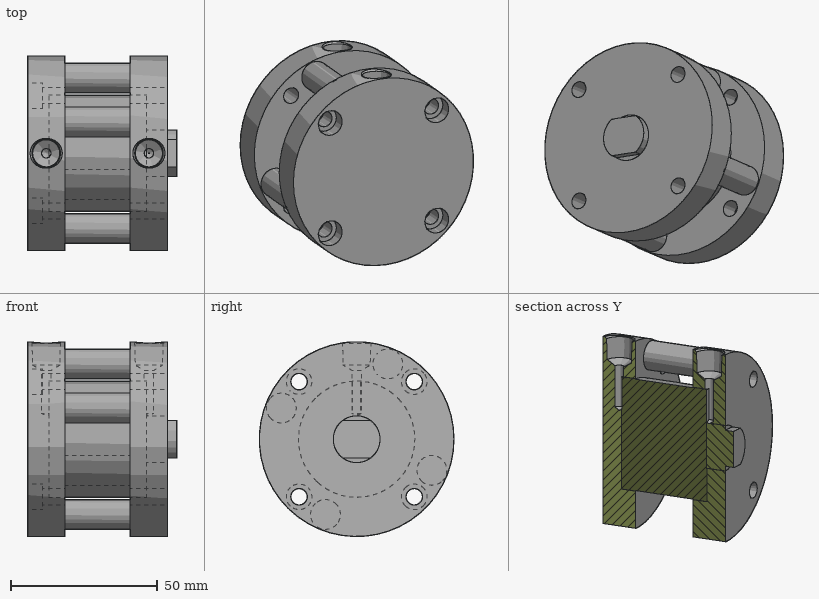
import cadquery as cq
import math

head_diameter = 66.55
head_radius = head_diameter / 2
head_thickness = 12.8
head_gap = 22.3
front_head_x = head_thickness + head_gap
front_face_x = front_head_x + head_thickness

barrel_diameter = 39.7
seat_depth = 5.5
barrel_start_x = head_thickness - seat_depth
barrel_end_x = front_head_x + seat_depth

pitch_radius = 27.8
hole_angle = 45.0
rod_angle = 67.5
around_count = 4
angle_step = 360.0 / around_count
mount_hole_diameter = 5.5
counterbore_diameter = 8.7
counterbore_depth = 5.2
tie_rod_diameter = 10.2

port_diameter = 9.7
port_floor_diameter = 9.25
port_depth = 8.0
port_rim_diameter = 11.0
passage_diameter = 3.2
passage_end_z = 8.85
drill_point_angle = 118.0

piston_rod_diameter = 16.0
rod_stickout = 3.2
across_flats = 12.9


def x_cylinder(diameter, start_x, end_x):
    """Round bar along the X axis."""
    bar = cq.Workplane("YZ").workplane(offset=start_x).circle(diameter / 2)
    return bar.extrude(end_x - start_x)


def around_axis(start_angle):
    """Positions (y, z) of the repeated features on the pitch circle."""
    angles = [math.radians(start_angle + i * angle_step) for i in range(around_count)]
    return [(pitch_radius * math.cos(a), pitch_radius * math.sin(a)) for a in angles]


def offset_cylinders(diameter, start_x, end_x, positions):
    """Cylinders along X, one centred at each (y, z) position."""
    bar = x_cylinder(diameter, start_x, end_x)
    return [bar.translate((0, y, z)) for y, z in positions]


def point_height(diameter):
    """Length of the conical point left by a drill of this diameter."""
    return diameter / 2 / math.tan(math.radians(drill_point_angle / 2))


def port_cutter(center_x):
    """Chamfered, slightly tapered port with a drill point, then a narrow passage with its own point."""
    port_radius = port_diameter / 2
    passage_radius = passage_diameter / 2
    rim_radius = port_rim_diameter / 2
    port_floor_z = head_radius - port_depth
    cone_drop = point_height(port_floor_diameter) - point_height(passage_diameter)
    profile = (
        cq.Workplane("XZ")
        .moveTo(0, head_radius)
        .lineTo(rim_radius, head_radius)
        .lineTo(port_radius, head_radius - (rim_radius - port_radius))
        .lineTo(port_floor_diameter / 2, port_floor_z)
        .lineTo(passage_radius, port_floor_z - cone_drop)
        .lineTo(passage_radius, passage_end_z)
        .lineTo(0, passage_end_z - point_height(passage_diameter))
        .close()
    )
    return profile.revolve(360, (0, 0), (0, 1)).translate((center_x, 0, 0))


def make_head(start_x):
    """Plain head with its barrel seat, mounting holes and port."""
    end_x = start_x + head_thickness
    head = x_cylinder(head_diameter, start_x, end_x)
    head = head.cut(x_cylinder(barrel_diameter, barrel_start_x, barrel_end_x))
    for hole in offset_cylinders(mount_hole_diameter, start_x, end_x, around_axis(hole_angle)):
        head = head.cut(hole)
    return head.cut(port_cutter(start_x + head_thickness / 2))


def make_rear_head():
    """Head whose mounting holes are counterbored from the outer face."""
    head = make_head(0)
    for bore in offset_cylinders(counterbore_diameter, 0, counterbore_depth, around_axis(hole_angle)):
        head = head.cut(bore)
    return head


def make_front_head():
    """Head with a through bore for the piston rod."""
    return make_head(front_head_x).cut(x_cylinder(piston_rod_diameter, front_head_x, front_face_x))


def make_barrel():
    return x_cylinder(barrel_diameter, barrel_start_x, barrel_end_x)


def make_tie_rods():
    """Tie rods reaching from head to head."""
    return offset_cylinders(tie_rod_diameter, head_thickness, front_head_x, around_axis(rod_angle))


def make_piston_rod():
    """Rod standing on the barrel, flattened above and below outside the head."""
    tip_x = front_face_x + rod_stickout
    stub = x_cylinder(piston_rod_diameter, front_face_x, tip_x)
    flats = cq.Workplane("YZ").workplane(offset=front_face_x)
    flats = flats.rect(piston_rod_diameter, across_flats).extrude(rod_stickout)
    shank = x_cylinder(piston_rod_diameter, barrel_end_x, front_face_x)
    return shank.union(stub.intersect(flats))


rear_head = make_rear_head()
front_head = make_front_head()
barrel = make_barrel()
tie_rods = make_tie_rods()
piston_rod = make_piston_rod()

result = cq.Compound.makeCompound(
    [
        rear_head.val(),
        front_head.val(),
        barrel.val(),
        *[rod.val() for rod in tie_rods],
        piston_rod.val(),
    ]
)